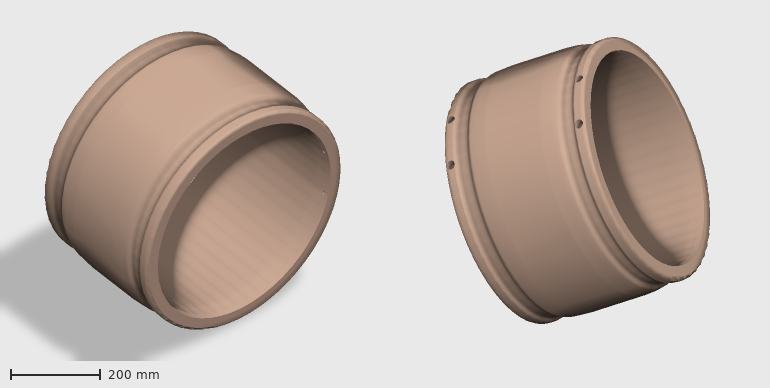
import cadquery as cq
import math

length = 360.0
half_length = length / 2
bore_radius = 250.0
crown_radius = 288.5
crown_half_width = 70.0

dome_arc_radius = 200.0
dome_width = 40.0

rim_radius = 282.5
rim_flat_width = 14.0
blend_radius = 8.0
groove_depth = 8.0
groove_radius = rim_radius - groove_depth
groove_start = 36.0
groove_floor_width = 18.0
flank_angle = math.radians(45)

hole_end_distance = 15.0
hole_half_spacing = 60.0
hole_diameter = 8.0
counterbore_diameter = 20.0
counterbore_floor_y = 260.0


def arc_point(centre, radius, angle):
    """Point on a profile arc, with the angle measured from +Z toward -X."""
    return (centre[0] - radius * math.sin(angle), centre[1] + radius * math.cos(angle))


def add_arc(profile, centre, radius, start, end):
    """Continue the profile along an arc between two angles."""
    middle = arc_point(centre, radius, (start + end) / 2)
    return profile.threePointArc(middle, arc_point(centre, radius, end))


def make_sleeve():
    """Revolve the outer profile of the -X half, mirror it and cut the bore."""
    quarter_turn = math.pi / 2
    half_turn = math.pi

    dome_centre = (-crown_half_width, crown_radius - dome_arc_radius)
    dome_angle = math.asin(dome_width / dome_arc_radius)
    dome_end = arc_point(dome_centre, dome_arc_radius, dome_angle)

    floor_outer_x = groove_start - half_length
    floor_inner_x = floor_outer_x + groove_floor_width
    inner_corner = (floor_inner_x, groove_radius + blend_radius)
    outer_corner = (floor_outer_x, groove_radius + blend_radius)

    flank_point = arc_point(inner_corner, blend_radius, half_turn + flank_angle)
    flank_normal = (-math.sin(flank_angle), math.cos(flank_angle))
    flank_gap = (
        (flank_point[0] - dome_end[0]) * flank_normal[0]
        + (flank_point[1] - dome_end[1]) * flank_normal[1]
    )
    shoulder_radius = flank_gap / (1 - math.cos(flank_angle - dome_angle))
    shoulder_centre = arc_point(dome_end, -shoulder_radius, dome_angle)

    rim_outer_x = blend_radius - half_length
    rim_inner_x = rim_outer_x + rim_flat_width
    rim_arc_z = rim_radius - blend_radius
    rim_inner_centre = (rim_inner_x, rim_arc_z)
    rim_outer_centre = (rim_outer_x, rim_arc_z)

    profile = cq.Workplane("XZ").lineTo(0, crown_radius)
    profile = profile.lineTo(-crown_half_width, crown_radius)
    profile = add_arc(profile, dome_centre, dome_arc_radius, 0, dome_angle)
    profile = add_arc(profile, shoulder_centre, shoulder_radius, dome_angle, flank_angle)
    profile = profile.lineTo(*flank_point)
    profile = add_arc(profile, inner_corner, blend_radius, half_turn + flank_angle, half_turn)
    profile = profile.lineTo(floor_outer_x, groove_radius)
    profile = add_arc(profile, outer_corner, blend_radius, half_turn, half_turn - flank_angle)
    profile = profile.lineTo(*arc_point(rim_inner_centre, blend_radius, -flank_angle))
    profile = add_arc(profile, rim_inner_centre, blend_radius, -flank_angle, 0)
    profile = profile.lineTo(rim_outer_x, rim_radius)
    profile = add_arc(profile, rim_outer_centre, blend_radius, 0, quarter_turn)
    profile = profile.lineTo(-half_length, 0)
    half = profile.close().revolve(360, (0, 0, 0), (1, 0, 0))
    blank = half.union(half.mirror("YZ"), clean=True)
    bore = cq.Workplane("YZ").circle(bore_radius).extrude(half_length, both=True)
    return blank.cut(bore)


def make_counterbored_hole(x, z):
    """Cutter for one hole along Y, with its counterbore opening outward."""
    outward = cq.Vector(0, 1, 0)
    hole = cq.Solid.makeCylinder(hole_diameter / 2, crown_radius, cq.Vector(x, 0, z), outward)
    counterbore = cq.Solid.makeCylinder(
        counterbore_diameter / 2,
        crown_radius - counterbore_floor_y,
        cq.Vector(x, counterbore_floor_y, z),
        outward,
    )
    return cq.Workplane(hole).union(cq.Workplane(counterbore))


result = make_sleeve()
hole_x = half_length - hole_end_distance
for x in (-hole_x, hole_x):
    for z in (-hole_half_spacing, hole_half_spacing):
        result = result.cut(make_counterbored_hole(x, z))